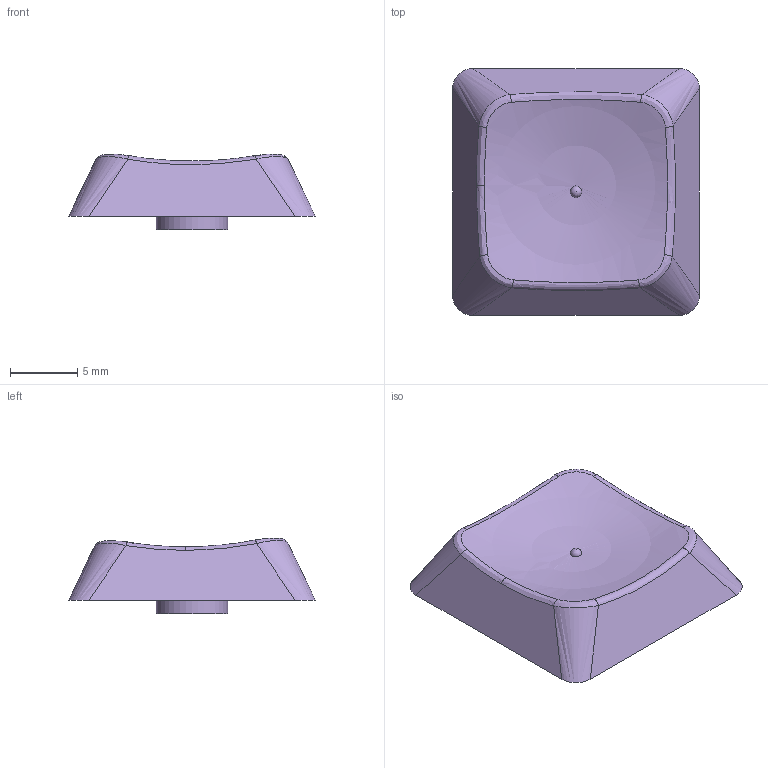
import cadquery as cq

base_side = 18.3
base_corner_radius = 1.5
blank_height = 7.5
blank_top_side = 11.1
blank_top_corner_radius = 3.0

dish_radius = 25.0
dish_bottom_z = 3.03
dish_offset_y = 0.48
rim_fillet_radius = 0.5

bump_radius = 0.43
bump_sink = 0.06

stem_diameter = 5.3
stem_length = 1.0


def rounded_square(side, corner_radius):
    return cq.Sketch().rect(side, side).vertices().fillet(corner_radius)


def ball(radius, y, z):
    upright = cq.Workplane("XY").sphere(radius).rotate((0, 0, 0), (0, 0, 1), 180)
    return upright.translate((0, y, z))


def make_body():
    base = rounded_square(base_side, base_corner_radius)
    top = rounded_square(blank_top_side, blank_top_corner_radius)
    top = top.moved(cq.Location(cq.Vector(0, 0, blank_height)))
    return cq.Workplane("XY").placeSketch(base, top).loft(ruled=True)


def cut_dish(body):
    dish_ball = ball(dish_radius, dish_offset_y, dish_bottom_z + dish_radius)
    dished = body.cut(dish_ball)
    dish_face = cq.selectors.NearestToPointSelector((0, dish_offset_y, dish_bottom_z))
    return dished.faces(dish_face).edges().fillet(rim_fillet_radius)


def make_stem():
    return cq.Workplane("XY").circle(stem_diameter / 2).extrude(-stem_length)


cap = cut_dish(make_body())
cap = cap.union(ball(bump_radius, 0, dish_bottom_z - bump_sink))
result = cap.union(make_stem())